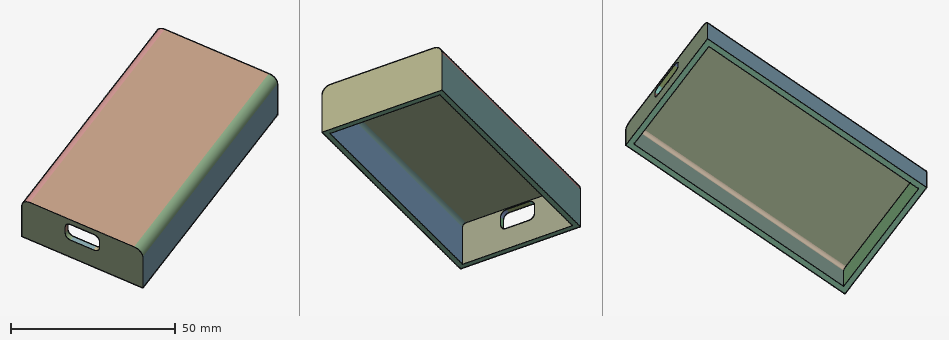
import cadquery as cq

WIDTH = 42.6
LENGTH = 82.4
HEIGHT = 17.0
EDGE_RADIUS = 3.0

WALL = 1.8

PORT_WIDTH = 12.0
PORT_HEIGHT = 7.0
PORT_CORNER_RADIUS = 2.0
PORT_CENTER_Z = 11.3


def rounded_block(width, length, height, radius):
    """Block standing on Z = 0 with its two long top edges rounded."""
    block = cq.Workplane("XY").box(width, length, height, centered=(True, True, False))
    return block.edges("|Y and >Z").fillet(radius)


def make_shell():
    """Hollow cover: the cavity keeps the wall thickness at the sides, ends and top."""
    outer = rounded_block(WIDTH, LENGTH, HEIGHT, EDGE_RADIUS)
    cavity = rounded_block(WIDTH - 2 * WALL, LENGTH - 2 * WALL, HEIGHT - WALL, EDGE_RADIUS - WALL)
    return outer.cut(cavity)


def make_port():
    """Rounded cutter that passes through the -Y end wall only."""
    depth = 2 * WALL
    cutter = cq.Workplane("XY").box(PORT_WIDTH, depth, PORT_HEIGHT)
    cutter = cutter.edges("|Y").fillet(PORT_CORNER_RADIUS)
    return cutter.translate((0, -LENGTH / 2, PORT_CENTER_Z))


result = make_shell().cut(make_port())